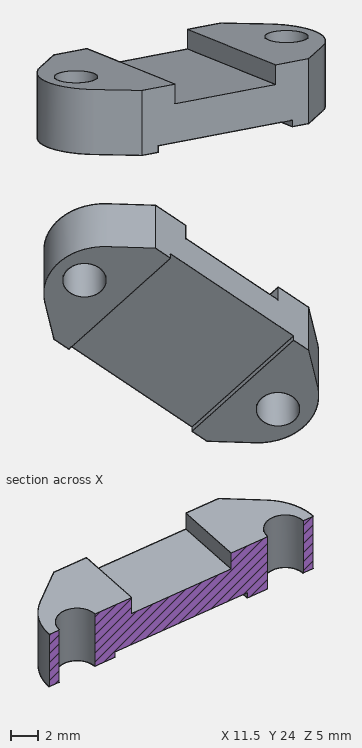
import cadquery as cq
import math

length = 23.97
width = 11.5
height = 5.0

end_radius = 4.5
hole_diameter = 3.2
hole_spacing = 18.9

top_channel_length = 9.01
top_channel_depth = 1.5
bottom_channel_length = 12.0
bottom_channel_depth = 0.5

half_width = width / 2
half_length = length / 2
shoulder_y = half_length - end_radius
tangent_angle = math.acos(end_radius / half_width)
tangent_x = end_radius * math.cos(tangent_angle)
tangent_y = shoulder_y + end_radius * math.sin(tangent_angle)


def make_body():
    """Plate with straight sides, tapered flanks and round ends."""
    return (
        cq.Workplane("XY")
        .moveTo(half_width, -shoulder_y)
        .lineTo(half_width, shoulder_y)
        .lineTo(tangent_x, tangent_y)
        .threePointArc((0, half_length), (-tangent_x, tangent_y))
        .lineTo(-half_width, shoulder_y)
        .lineTo(-half_width, -shoulder_y)
        .lineTo(-tangent_x, -tangent_y)
        .threePointArc((0, -half_length), (tangent_x, -tangent_y))
        .close()
        .extrude(height)
    )


def make_channel(channel_length, depth, floor_z):
    """Block that cuts a channel across the plate, starting at floor_z."""
    return (
        cq.Workplane("XY")
        .workplane(offset=floor_z)
        .rect(width, channel_length)
        .extrude(depth)
    )


def make_holes():
    """Two through holes, one in each end."""
    return (
        cq.Workplane("XY")
        .pushPoints([(0, -hole_spacing / 2), (0, hole_spacing / 2)])
        .circle(hole_diameter / 2)
        .extrude(height)
    )


top_channel = make_channel(top_channel_length, top_channel_depth, height - top_channel_depth)
bottom_channel = make_channel(bottom_channel_length, bottom_channel_depth, 0)

result = make_body().cut(top_channel).cut(bottom_channel).cut(make_holes())